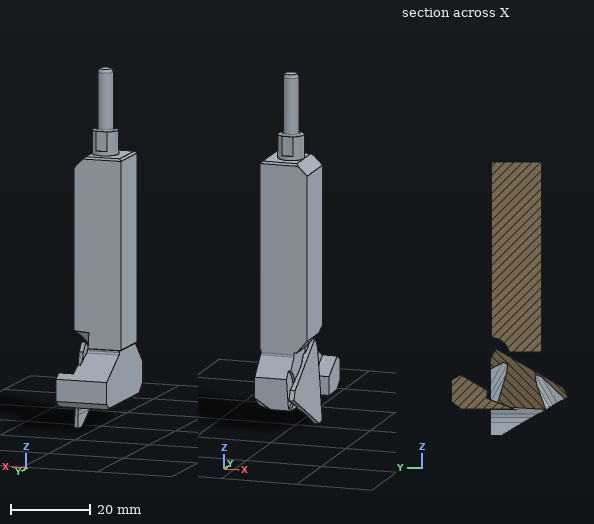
import cadquery as cq
import math


SHANK_WIDTH = 12.7
SHANK_TOP = 63.2
SHANK_BOTTOM = 14.0
SHANK_EDGE_CHAMFER = 0.55
SHANK_TOP_CHAMFER = 2.9
SHANK_HEEL_WIDTH = 2.85
SHANK_HEEL_HEIGHT = 3.3
COLLAR_DIAMETER = 6.8
COLLAR_HEIGHT = 6.2
COLLAR_FLAT_SPACING = 6.2
COLLAR_FLAT_HEIGHT = 5.05
PIN_DIAMETER = 4.0
PIN_LENGTH = 15.8
PIN_ROOT_FILLET = 0.4
PIN_TIP_CHAMFER_HEIGHT = 0.9
PIN_TIP_CHAMFER_WIDTH = 0.3

HEAD_BACK_STEP = 0.3
HEAD_FRONT_X = 7.6
HEAD_NECK_Y = 6.6
HEAD_NECK_BOTTOM = 13.1
HEAD_NECK_FILLET = 0.6
HEAD_TAIL_Y = 16.45
HEAD_TAIL_TOP = 7.5
HEAD_TAIL_CUT_WIDTH = 2.6
HEAD_TAIL_CUT_HEIGHT = 1.8
HEAD_NOSE_Y = -11.3
HEAD_NOSE_TOP = 8.2
HEAD_EDGE_CHAMFER = 0.55
CORNER_CUT = (4.4, 3.5, 2.8)

SEAT_X = 3.7
SEAT_Y = -0.5
SEAT_Z = 3.95
TILT_ABOUT_Y = -4.0
TILT_ABOUT_Z = -1.5
TIP_COUNT = 3
INSERT_THICKNESS = 1.65
INSERT_INRADIUS = 7.2
INSERT_CLEARANCE_ANGLE = 7.0
TIP_TRUNCATION = 1.65
BREAKER_START = 3.5
BREAKER_RAMP_END = 5.1
BREAKER_FLOOR_START = 6.1
BREAKER_FLOOR_END = 7.3
BREAKER_RAMP_DEPTH = 0.55
BREAKER_FLOOR_DEPTH = 0.7
TIP_FACE_DEPTH = 0.4

SEAT_WALL_Y = 7.4
SEAT_WALL_TOP = 5.0
SEAT_RAMP_ANGLE = 30.0
GULLET_RADIUS = 5.05
GULLET_DEPTH = 0.6

FAR = 36.75
FLOOR_REACH = 4 * FAR

shank_half = SHANK_WIDTH / 2
head_back_x = -shank_half + HEAD_BACK_STEP
triangle_half_angle = math.pi / (2 * TIP_COUNT)


def place_on_seat(shape):
    """Move a shape from the flat insert frame to the tilted seat."""
    return (
        shape.rotate((0, 0, 0), (0, 1, 0), TILT_ABOUT_Y)
        .rotate((0, 0, 0), (0, 0, 1), TILT_ABOUT_Z)
        .translate((SEAT_X, SEAT_Y, SEAT_Z))
    )


def turn(point, index):
    """Turn a (Y, Z) point about the insert centre to the tip with this index."""
    angle = index * 2 * math.pi / TIP_COUNT
    y, z = point
    return (
        y * math.cos(angle) - z * math.sin(angle),
        y * math.sin(angle) + z * math.cos(angle),
    )


tip_vertex_z = -INSERT_INRADIUS / math.tan(triangle_half_angle)
tip_end_z = tip_vertex_z + TIP_TRUNCATION
tip_end_width = TIP_TRUNCATION * math.tan(2 * triangle_half_angle)
tip_corner = (INSERT_INRADIUS, tip_end_z)
tip_heel = (INSERT_INRADIUS - tip_end_width, tip_end_z)


def make_chip_breaker():
    """Groove across the back (-X) face of the lower tip."""
    return (
        cq.Workplane("XZ")
        .polyline([
            (0, -BREAKER_START),
            (BREAKER_RAMP_DEPTH, -BREAKER_RAMP_END),
            (BREAKER_FLOOR_DEPTH, -BREAKER_FLOOR_START),
            (BREAKER_FLOOR_DEPTH, -BREAKER_FLOOR_END),
            (TIP_FACE_DEPTH, tip_end_z),
            (0, tip_end_z),
        ])
        .close()
        .extrude(FAR, both=True)
    )


def make_insert():
    outline = []
    for index in range(TIP_COUNT):
        outline.append(turn(tip_corner, -index))
        outline.append(turn(tip_heel, -index))
    body = (
        cq.Workplane("YZ")
        .polyline(outline)
        .close()
        .extrude(INSERT_THICKNESS, taper=INSERT_CLEARANCE_ANGLE)
    )
    for index in range(TIP_COUNT):
        angle = -index * 360 / TIP_COUNT
        body = body.cut(make_chip_breaker().rotate((0, 0, 0), (1, 0, 0), angle))
    return place_on_seat(body)


def make_shank():
    shank = (
        cq.Workplane("XY", origin=(0, 0, SHANK_BOTTOM))
        .rect(SHANK_WIDTH, SHANK_WIDTH)
        .extrude(SHANK_TOP - SHANK_BOTTOM)
        .faces(">Z").edges("<X or <Y or >Y").chamfer(SHANK_EDGE_CHAMFER)
    )
    top_cut = (
        cq.Workplane("XZ")
        .polyline([
            (shank_half, SHANK_TOP),
            (shank_half - SHANK_TOP_CHAMFER, SHANK_TOP),
            (shank_half, SHANK_TOP - SHANK_TOP_CHAMFER),
        ])
        .close()
        .extrude(FAR, both=True)
    )
    heel_cut = (
        cq.Workplane("XZ")
        .polyline([
            (shank_half, SHANK_BOTTOM),
            (shank_half - SHANK_HEEL_WIDTH, SHANK_BOTTOM),
            (shank_half, SHANK_BOTTOM + SHANK_HEEL_HEIGHT),
        ])
        .close()
        .extrude(FAR, both=True)
    )
    return shank.cut(top_cut).cut(heel_cut)


def make_collar_and_pin():
    collar_top = SHANK_TOP + COLLAR_HEIGHT
    collar = cq.Workplane("XY", origin=(0, 0, SHANK_TOP)).circle(COLLAR_DIAMETER / 2).extrude(COLLAR_HEIGHT)
    flat_band = (
        cq.Workplane("XY", origin=(0, 0, collar_top - COLLAR_FLAT_HEIGHT))
        .rect(COLLAR_DIAMETER, COLLAR_DIAMETER)
        .rect(COLLAR_DIAMETER, COLLAR_FLAT_SPACING)
        .extrude(COLLAR_FLAT_HEIGHT)
    )
    pin_radius = PIN_DIAMETER / 2
    pin_top = collar_top + PIN_LENGTH
    pin = (
        cq.Workplane("XZ")
        .moveTo(0, collar_top)
        .lineTo(pin_radius + PIN_ROOT_FILLET, collar_top)
        .radiusArc((pin_radius, collar_top + PIN_ROOT_FILLET), PIN_ROOT_FILLET)
        .lineTo(pin_radius, pin_top - PIN_TIP_CHAMFER_HEIGHT)
        .lineTo(pin_radius - PIN_TIP_CHAMFER_WIDTH, pin_top)
        .lineTo(0, pin_top)
        .close()
        .revolve(360, (0, 0, 0), (0, 1, 0))
    )
    return collar.cut(flat_band).union(pin)


def make_seat_pocket():
    """Space in front of the tilted seat, bounded by the seat wall and its ramp."""
    ramp_rise = FAR * math.tan(math.radians(SEAT_RAMP_ANGLE))
    walls = (
        cq.Workplane("YZ")
        .polyline([
            (-FAR, -FAR),
            (SEAT_WALL_Y, -FAR),
            (SEAT_WALL_Y, SEAT_WALL_TOP),
            (SEAT_WALL_Y + FAR, SEAT_WALL_TOP + ramp_rise),
            (-FAR, SEAT_WALL_TOP + ramp_rise),
        ])
        .close()
        .extrude(FAR)
    )
    above_floor = place_on_seat(cq.Workplane("YZ").rect(FLOOR_REACH, FLOOR_REACH).extrude(FLOOR_REACH))
    return walls.intersect(above_floor)


def make_gullet(index):
    """Round clearance behind one insert tip, open toward +X."""
    gullet = (
        cq.Workplane("YZ", origin=(-GULLET_DEPTH, 0, 0))
        .center(*turn(tip_heel, index))
        .circle(GULLET_RADIUS)
        .extrude(FAR)
    )
    return place_on_seat(gullet)


def make_head():
    head = (
        cq.Workplane("YZ", origin=(head_back_x, 0, 0))
        .polyline([
            (-shank_half, SHANK_BOTTOM),
            (HEAD_NECK_Y, SHANK_BOTTOM),
            (HEAD_NECK_Y, HEAD_NECK_BOTTOM),
            (HEAD_TAIL_Y, HEAD_TAIL_TOP),
            (HEAD_TAIL_Y, HEAD_TAIL_CUT_HEIGHT),
            (HEAD_TAIL_Y - HEAD_TAIL_CUT_WIDTH, 0),
            (HEAD_NOSE_Y, 0),
            (HEAD_NOSE_Y, HEAD_NOSE_TOP),
            (-shank_half, HEAD_NECK_BOTTOM),
        ])
        .close()
        .extrude(HEAD_FRONT_X - head_back_x)
        .faces("<Z").edges("<X").chamfer(HEAD_EDGE_CHAMFER)
    )
    for neck_y in (-shank_half, HEAD_NECK_Y):
        shoulder = cq.NearestToPointSelector((0, neck_y, HEAD_NECK_BOTTOM))
        head = head.edges("|X").edges(shoulder).fillet(HEAD_NECK_FILLET)
    return head.cut(make_corner_cut()).cut(make_seat_pocket())


def make_corner_cut():
    """Three-sided wedge at the -X, -Y, -Z corner of the nose."""
    reach_x, reach_y, reach_z = CORNER_CUT
    corner = cq.Vector(head_back_x, HEAD_NOSE_Y, 0)
    slope = cq.Vector(1 / reach_x, 1 / reach_y, 1 / reach_z)
    plane = cq.Plane(
        origin=(corner + cq.Vector(reach_x, 0, 0)).toTuple(),
        normal=(-slope).toTuple(),
    )
    return cq.Workplane(plane).rect(FAR, FAR).extrude(FAR)


def make_holder():
    body = make_shank().union(make_head()).union(make_collar_and_pin())
    for index in (1, 2):
        body = body.cut(make_gullet(index))
    return body


insert = make_insert()
holder = make_holder()
result = cq.Compound.makeCompound([holder.val(), insert.val()])